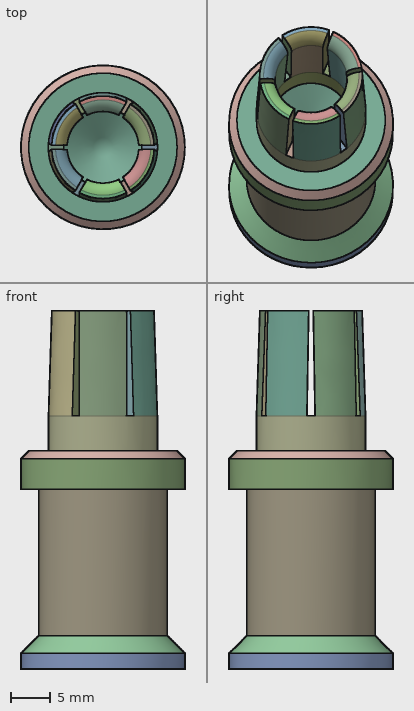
import cadquery as cq
import math

total_height = 45.8
flange_radius = 20.95 / 2
shank_radius = 16.5 / 2

foot_rim_height = 2.0
foot_top = foot_rim_height + flange_radius - shank_radius

flange_bottom = 22.95
flange_top = 27.9
flange_chamfer = 1.0

collar_radius = 13.95 / 2
finger_root = 32.37
finger_tip_radius = 6.55
bore_radius = 10.0 / 2
throat_radius = 4.6
lip_radius = 1.5
lip_edge_radius = throat_radius + lip_radius
bore_bottom = flange_top
drill_point_angle = 118.0
drill_point_depth = bore_radius / math.tan(math.radians(drill_point_angle / 2))

slot_count = 6
slot_root_width = 1.0
slot_tip_width = 0.55


def make_body():
    """Revolve the flanged pin together with its blind, drilled socket."""
    lip_bottom = total_height - lip_radius
    lip_mid_offset = lip_radius * math.sqrt(0.5)
    lip_middle = (lip_edge_radius - lip_mid_offset, lip_bottom + lip_mid_offset)
    profile = (
        cq.Workplane("XZ")
        .moveTo(0, 0)
        .lineTo(flange_radius, 0)
        .lineTo(flange_radius, foot_rim_height)
        .lineTo(shank_radius, foot_top)
        .lineTo(shank_radius, flange_bottom)
        .lineTo(flange_radius, flange_bottom)
        .lineTo(flange_radius, flange_top - flange_chamfer)
        .lineTo(flange_radius - flange_chamfer, flange_top)
        .lineTo(collar_radius, flange_top)
        .lineTo(collar_radius, finger_root)
        .lineTo(finger_tip_radius, total_height)
        .lineTo(lip_edge_radius, total_height)
        .threePointArc(lip_middle, (throat_radius, lip_bottom))
        .lineTo(bore_radius, finger_root)
        .lineTo(bore_radius, bore_bottom)
        .lineTo(0, bore_bottom - drill_point_depth)
        .close()
    )
    return profile.revolve(360, (0, 0), (0, 1))


def make_slot_cutter():
    """Wedge lying along +X that cuts one gap through the socket wall."""
    outline = [
        (-slot_root_width / 2, finger_root),
        (slot_root_width / 2, finger_root),
        (slot_tip_width / 2, total_height),
        (-slot_tip_width / 2, total_height),
    ]
    return cq.Workplane("YZ").polyline(outline).close().extrude(flange_radius)


result = make_body()
for index in range(slot_count):
    angle = index * 360 / slot_count
    result = result.cut(make_slot_cutter().rotate((0, 0, 0), (0, 0, 1), angle))